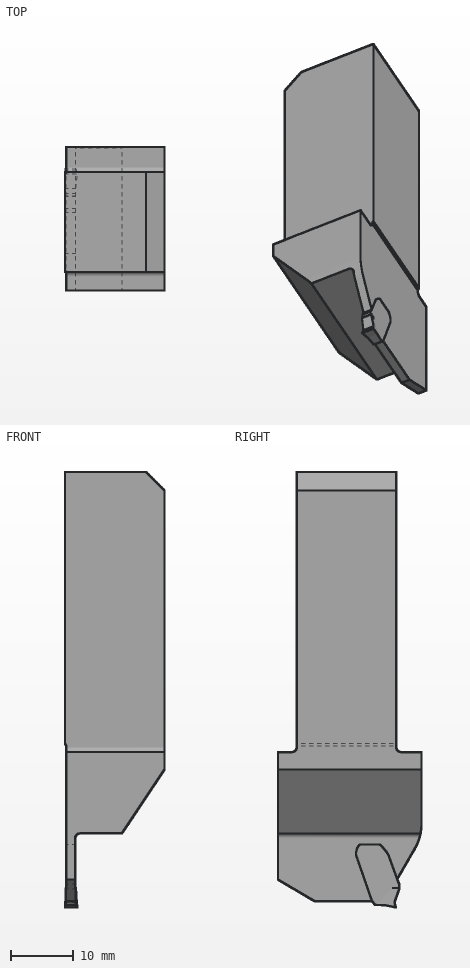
import cadquery as cq
import math

TOTAL_HEIGHT = 70.0
SHANK_SIDE = 16.0
SHANK_Y = 3.0
SHANK_CHAMFER = 3.0
SHANK_FILLET = 0.8

SETBACK = 0.2
STEP_BOTTOM = 26.0
STEP_TOP = 26.4

HEAD_LENGTH = 23.1
SHOULDER_Z = 25.0
BLADE_BOTTOM = 1.0
BLADE_BACK_X = 1.7
BLOCK_BOTTOM = 11.9
BLOCK_BOTTOM_X = 9.2
BLOCK_SLOPE_TOP = 22.2
BLADE_ROOT_FILLET = 0.8
CORNER_LENGTH = 5.95
CORNER_TOP = 4.5
RELIEF_TOP = 11.35
RELIEF_ANGLE = 30.0
RELIEF_RADIUS = 8.0

INSERT_WIDTH = 2.0
FLARE_TOP = 3.15
TIP = (19.0, 0.0)
FLARE_START = (16.1, 0.6)
FLARE_END = (18.3, 2.95)


def extrude_x(outline, x_start, x_end):
    """Extrude a (y, z) outline between two X positions."""
    return outline.extrude(x_end - x_start).translate((x_start, 0, 0))


def head_outline():
    relief_run = (RELIEF_TOP - BLADE_BOTTOM) * math.tan(math.radians(RELIEF_ANGLE))
    return (
        cq.Workplane("YZ")
        .moveTo(0, SHOULDER_Z)
        .lineTo(0, CORNER_TOP)
        .lineTo(CORNER_LENGTH, BLADE_BOTTOM)
        .lineTo(HEAD_LENGTH - relief_run, BLADE_BOTTOM)
        .lineTo(HEAD_LENGTH, RELIEF_TOP)
        .lineTo(HEAD_LENGTH, SHOULDER_Z)
        .close()
    )


def make_head():
    """Intersect the side outline with the stepped block-and-blade profile."""
    side = extrude_x(head_outline(), SETBACK, SHANK_SIDE)
    side = side.edges(cq.selectors.NearestToPointSelector((SHANK_SIDE / 2, HEAD_LENGTH, RELIEF_TOP)))
    side = side.fillet(RELIEF_RADIUS)
    profile = (
        cq.Workplane("XZ")
        .moveTo(SETBACK, 0)
        .lineTo(BLADE_BACK_X, 0)
        .lineTo(BLADE_BACK_X, BLOCK_BOTTOM - BLADE_ROOT_FILLET)
        .radiusArc((BLADE_BACK_X + BLADE_ROOT_FILLET, BLOCK_BOTTOM), BLADE_ROOT_FILLET)
        .lineTo(BLOCK_BOTTOM_X, BLOCK_BOTTOM)
        .lineTo(SHANK_SIDE, BLOCK_SLOPE_TOP)
        .lineTo(SHANK_SIDE, SHOULDER_Z)
        .lineTo(SETBACK, SHOULDER_Z)
        .close()
        .extrude(-HEAD_LENGTH)
    )
    return side.intersect(profile)


def make_shank():
    return (
        cq.Workplane("XZ", origin=(0, SHANK_Y, 0))
        .moveTo(SETBACK, SHOULDER_Z)
        .lineTo(SHANK_SIDE, SHOULDER_Z)
        .lineTo(SHANK_SIDE, TOTAL_HEIGHT - SHANK_CHAMFER)
        .lineTo(SHANK_SIDE - SHANK_CHAMFER, TOTAL_HEIGHT)
        .lineTo(0, TOTAL_HEIGHT)
        .lineTo(0, STEP_TOP)
        .lineTo(SETBACK, STEP_BOTTOM)
        .close()
        .extrude(-SHANK_SIDE)
    )


def make_shoulder_fillet(shank_face_y, outward):
    """Concave strip in the corner of a shank face; outward is +1 or -1 along Y."""
    outer_y = shank_face_y + outward * SHANK_FILLET
    strip = (
        cq.Workplane("YZ")
        .moveTo(shank_face_y, SHOULDER_Z)
        .lineTo(outer_y, SHOULDER_Z)
        .radiusArc((shank_face_y, SHOULDER_Z + SHANK_FILLET), outward * SHANK_FILLET)
        .close()
    )
    return extrude_x(strip, SETBACK, SHANK_SIDE)


def make_insert_blank(x_start, x_end):
    """Insert plate at constant width, rounded where it seats in the blade."""
    outline = (
        cq.Workplane("YZ")
        .moveTo(*TIP)
        .lineTo(17.3, 0.35)
        .lineTo(15.6, 0.4)
        .lineTo(15.1, 1.05)
        .lineTo(12.6, 8.3)
        .threePointArc((12.7, 9.3), (13.15, 10.15))
        .lineTo(16.4, 10.15)
        .threePointArc((17.2, 9.25), (17.8, 8.4))
        .lineTo(19.2, 4.55)
        .lineTo(19.5, 3.8)
        .lineTo(19.5, 3.0)
        .lineTo(18.75, 0.85)
        .close()
    )
    return extrude_x(outline, x_start, x_end)


def make_flare_limit():
    """Prism as thick as the blade that widens evenly from the flare line to the tip."""
    along_y = FLARE_END[0] - FLARE_START[0]
    along_z = FLARE_END[1] - FLARE_START[1]
    length = math.hypot(along_y, along_z)
    toward_y = along_z / length
    toward_z = -along_y / length
    tip_distance = (TIP[0] - FLARE_START[0]) * toward_y + (TIP[1] - FLARE_START[1]) * toward_z
    reach = HEAD_LENGTH
    plane = cq.Plane(
        origin=(0, *FLARE_START),
        xDir=(0, toward_y, toward_z),
        normal=(0, along_y, along_z),
    )
    return (
        cq.Workplane(plane)
        .moveTo(-reach, -SETBACK)
        .lineTo(0, -SETBACK)
        .lineTo(tip_distance, 0)
        .lineTo(reach, 0)
        .lineTo(reach, -INSERT_WIDTH)
        .lineTo(tip_distance, -INSERT_WIDTH)
        .lineTo(0, -BLADE_BACK_X)
        .lineTo(-reach, -BLADE_BACK_X)
        .close()
        .extrude(reach, both=True)
    )


def make_insert():
    """Blade-thick plate joined to the flared stretch below the ledge."""
    plate = make_insert_blank(SETBACK, BLADE_BACK_X)
    below_ledge = cq.Workplane("XY").rect(2 * HEAD_LENGTH, 2 * HEAD_LENGTH).extrude(FLARE_TOP)
    flare = make_insert_blank(0, INSERT_WIDTH).intersect(make_flare_limit()).intersect(below_ledge)
    return plate.union(flare)


def make_holder():
    """Shank, head and blade in one piece, with the insert seat cut through the blade."""
    holder = make_head().union(make_shank())
    holder = holder.union(make_shoulder_fillet(SHANK_Y, -1))
    holder = holder.union(make_shoulder_fillet(SHANK_Y + SHANK_SIDE, 1))
    return holder.cut(make_insert_blank(SETBACK, BLADE_BACK_X))


holder = make_holder()
insert = make_insert()
result = cq.Compound.makeCompound([holder.solids().val(), insert.solids().val()])